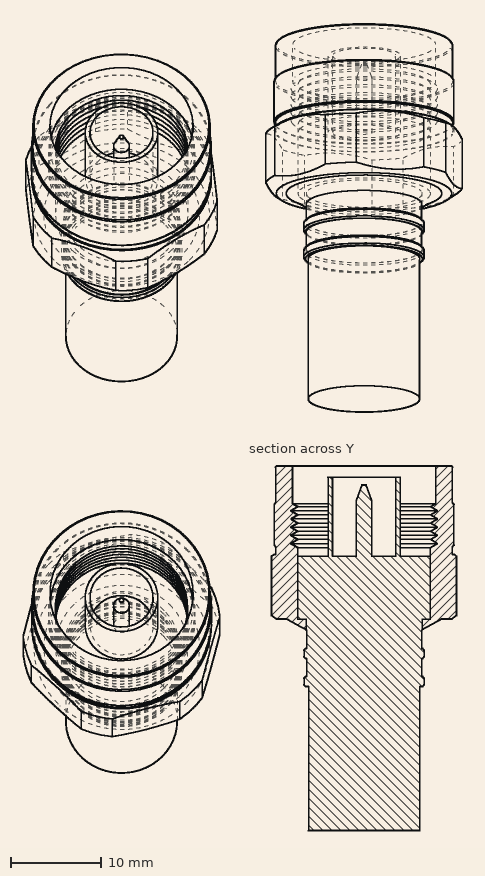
import cadquery as cq
import math

TOTAL_LENGTH = 40.52
NUT_BOTTOM = 22.28
HEX_BOTTOM = 23.5
HEX_TOP = 30.7
SLEEVE_BAND_BOTTOM = 31.55
SLEEVE_BAND_TOP = 36.4
FLOOR_HEIGHT = 30.5

ACROSS_FLATS = 20.57
HEX_CORNER_RADIUS = 11.0
HEX_TOP_RADIUS = 10.0
HEX_BOTTOM_RADIUS = 9.75
HEX_TOP_CHAMFER = 0.68
HEX_BOTTOM_CHAMFER = 0.9
SLEEVE_RADIUS = 9.85
BAND_RADIUS = 10.0
EDGE_BREAK = 0.13
CONE_TOP_RADIUS = 8.65

BORE_RADIUS = 7.95
THREAD_CREST_RADIUS = 7.35
THREAD_PITCH = 0.91
THREAD_GROOVES = 5
THREAD_HALF_ANGLE = math.radians(30)
THREAD_DEPTH = THREAD_PITCH / 2 / math.tan(THREAD_HALF_ANGLE)
BORE_BOTTOM = 36.33
LEAD_IN_DROP = (BORE_RADIUS - THREAD_CREST_RADIUS) * math.tan(THREAD_HALF_ANGLE)
FIRST_CREST = BORE_BOTTOM - LEAD_IN_DROP

NECK_RADIUS = 6.42
CABLE_TUBE_RADIUS = 6.2
RIDGE_RADIUS = 6.7
RIDGE_WIDTH = 1.15
RIDGE_CHAMFER = 0.2
RIDGE_BOTTOMS = (16.0, 19.1)
CONTACT_TUBE_RADIUS = 4.03
CONTACT_TUBE_BORE_RADIUS = 3.5
CONTACT_TUBE_TOP = TOTAL_LENGTH - 1.25
PIN_RADIUS = 0.88
PIN_TIP_RADIUS = 0.24
PIN_TIP_HEIGHT = TOTAL_LENGTH - 2.1
PIN_CONE_LENGTH = 1.75


def revolve_profile(points):
    """Solid of revolution about Z from a closed list of (radius, height) points."""
    return cq.Workplane("XZ").polyline(points).close().revolve(360, (0, 0), (0, 1))


def cylinder(radius, bottom, top):
    return cq.Workplane("XY").workplane(offset=bottom).circle(radius).extrude(top - bottom)


def make_hex():
    """Hexagon with flats facing +X and -X, its corners turned round and chamfered."""
    across_corners = ACROSS_FLATS / math.cos(math.pi / 6)
    prism = (
        cq.Workplane("XY")
        .workplane(offset=HEX_BOTTOM)
        .polygon(6, across_corners)
        .extrude(HEX_TOP - HEX_BOTTOM)
        .rotate((0, 0, 0), (0, 0, 1), 30)
    )
    turned_blank = revolve_profile([
        (0, HEX_BOTTOM),
        (HEX_BOTTOM_RADIUS, HEX_BOTTOM),
        (HEX_CORNER_RADIUS, HEX_BOTTOM + HEX_BOTTOM_CHAMFER),
        (HEX_CORNER_RADIUS, HEX_TOP - HEX_TOP_CHAMFER),
        (HEX_TOP_RADIUS, HEX_TOP),
        (0, HEX_TOP),
    ])
    return prism.intersect(turned_blank)


def make_sleeve():
    """Round front of the nut with a slightly larger band around it."""
    return revolve_profile([
        (0, HEX_TOP),
        (SLEEVE_RADIUS, HEX_TOP),
        (SLEEVE_RADIUS, SLEEVE_BAND_BOTTOM),
        (BAND_RADIUS, SLEEVE_BAND_BOTTOM + EDGE_BREAK),
        (BAND_RADIUS, SLEEVE_BAND_TOP - EDGE_BREAK),
        (SLEEVE_RADIUS, SLEEVE_BAND_TOP),
        (SLEEVE_RADIUS, TOTAL_LENGTH - EDGE_BREAK),
        (SLEEVE_RADIUS - EDGE_BREAK, TOTAL_LENGTH),
        (0, TOTAL_LENGTH),
    ])


def make_tail():
    """Cone that tapers from the hexagon to the body neck."""
    return revolve_profile([
        (0, NUT_BOTTOM),
        (NECK_RADIUS, NUT_BOTTOM),
        (CONE_TOP_RADIUS, HEX_BOTTOM),
        (0, HEX_BOTTOM),
    ])


def make_nut_cavity():
    """Everything removed from the nut: bore, thread grooves, flange seat and neck hole."""
    points = [
        (0, TOTAL_LENGTH),
        (BORE_RADIUS, TOTAL_LENGTH),
        (BORE_RADIUS, BORE_BOTTOM),
        (THREAD_CREST_RADIUS, FIRST_CREST),
    ]
    for groove in range(THREAD_GROOVES):
        crest_above = FIRST_CREST - groove * THREAD_PITCH
        points.append((THREAD_CREST_RADIUS + THREAD_DEPTH, crest_above - THREAD_PITCH / 2))
        points.append((THREAD_CREST_RADIUS, crest_above - THREAD_PITCH))
    points += [
        (THREAD_CREST_RADIUS, HEX_BOTTOM),
        (NECK_RADIUS, HEX_BOTTOM),
        (NECK_RADIUS, NUT_BOTTOM),
        (0, NUT_BOTTOM),
    ]
    return revolve_profile(points)


def make_coupling_nut():
    outside = make_hex().union(make_sleeve()).union(make_tail())
    return outside.cut(make_nut_cavity())


def make_ridge(bottom):
    """Chamfered ring around the neck."""
    top = bottom + RIDGE_WIDTH
    shoulder_radius = RIDGE_RADIUS - RIDGE_CHAMFER
    return revolve_profile([
        (0, bottom),
        (shoulder_radius, bottom),
        (RIDGE_RADIUS, bottom + RIDGE_CHAMFER),
        (RIDGE_RADIUS, top - RIDGE_CHAMFER),
        (shoulder_radius, top),
        (0, top),
    ])


def make_contact_tube():
    tube = cylinder(CONTACT_TUBE_RADIUS, FLOOR_HEIGHT, CONTACT_TUBE_TOP)
    return tube.cut(cylinder(CONTACT_TUBE_BORE_RADIUS, FLOOR_HEIGHT, CONTACT_TUBE_TOP))


def make_pin():
    """Centre contact with a pointed end."""
    return revolve_profile([
        (0, FLOOR_HEIGHT),
        (PIN_RADIUS, FLOOR_HEIGHT),
        (PIN_RADIUS, PIN_TIP_HEIGHT - PIN_CONE_LENGTH),
        (PIN_TIP_RADIUS, PIN_TIP_HEIGHT),
        (0, PIN_TIP_HEIGHT),
    ])


def make_connector_body():
    """Cable tube, ridged neck, flange held in the nut, and the front contacts."""
    lowest_ridge = min(RIDGE_BOTTOMS)
    body = cylinder(CABLE_TUBE_RADIUS, 0, lowest_ridge)
    body = body.union(cylinder(NECK_RADIUS, lowest_ridge, HEX_BOTTOM))
    for bottom in RIDGE_BOTTOMS:
        body = body.union(make_ridge(bottom))
    body = body.union(cylinder(THREAD_CREST_RADIUS, HEX_BOTTOM, FLOOR_HEIGHT))
    return body.union(make_contact_tube()).union(make_pin())


coupling_nut = make_coupling_nut()
connector_body = make_connector_body()

result = cq.Compound.makeCompound([coupling_nut.val(), connector_body.val()])